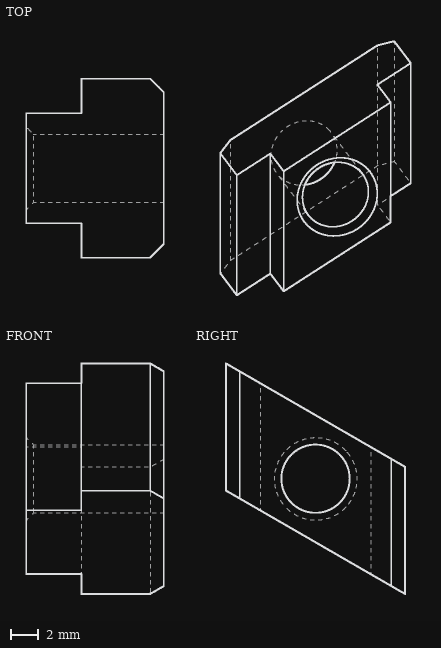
import cadquery as cq
import math

length = 10.0
neck_length = 4.0
body_width = 13.0
neck_width = 8.0
height = 16.74
slope_angle = 30.0
corner_chamfer = 1.0
bore_diameter = 4.94
countersink_diameter = 6.0
countersink_angle = 90.0

half_body = body_width / 2
half_neck = neck_width / 2
slope_drop = body_width * math.tan(math.radians(slope_angle))
side_height = height - slope_drop


def parallelogram_bar():
    """Bar along X with upright sides and sloping top and bottom."""
    half_height = height / 2
    outline = [
        (-half_body, half_height),
        (-half_body, half_height - side_height),
        (half_body, -half_height),
        (half_body, -half_height + side_height),
    ]
    return cq.Workplane("YZ").polyline(outline).close().extrude(length)


def tee_column():
    """Upright column with the T-shaped plan and chamfered far corners."""
    outline = [
        (0, -half_neck),
        (neck_length, -half_neck),
        (neck_length, -half_body),
        (length - corner_chamfer, -half_body),
        (length, -half_body + corner_chamfer),
        (length, half_body - corner_chamfer),
        (length - corner_chamfer, half_body),
        (neck_length, half_body),
        (neck_length, half_neck),
        (0, half_neck),
    ]
    return cq.Workplane("XY").polyline(outline).close().extrude(height / 2, both=True)


result = (
    parallelogram_bar()
    .intersect(tee_column())
    .faces("<X")
    .workplane(origin=(0, 0, 0))
    .cskHole(bore_diameter, countersink_diameter, countersink_angle)
)